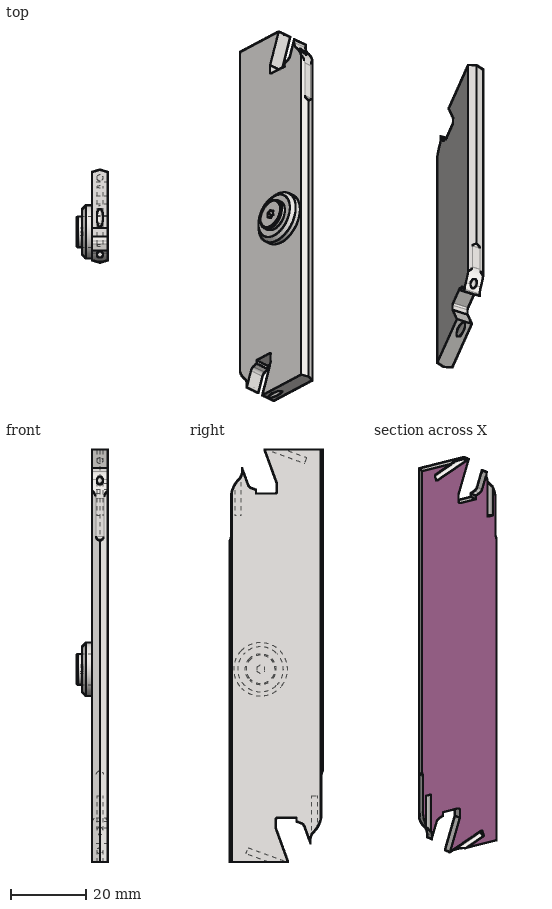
import cadquery as cq
import math

blade_length = 110.0
blade_width = 24.9
blade_thickness = 4.3
bevel_depth = 0.7
half_length = blade_length / 2
half_width = blade_width / 2
half_thickness = blade_thickness / 2

seat_angle = 20.0
jaw_corner_y = -3.2
slot_wall_y = 0.1
slot_corner_radius = 0.4
slot_floor_z = 43.2
step_y = -5.4
step_height = 1.0
seat_radius = 1.4

tip_y = -9.1
tip_z = 50.0
tip_land = 1.0
flank_angle = 45.0
hollow_radius = 3.0
recess_depth = bevel_depth / 2
recess_end_z = 31.8
runout_radius = 2.4
runout_angle = 45.0

coolant_diameter = 1.6
flank_hole_y = -10.2
flank_hole_floor_z = 37.4
jaw_hole_y = -0.4
jaw_hole_tilt = 20.0
jaw_hole_depth = 8.8

port_y = -4.2
port_z = -3.6
disc_diameter = 14.3
disc_thickness = 2.6
disc_chamfer = 1.1
screw_diameter = 8.2
screw_chamfer = 0.3
screw_length = 4.1
socket_flats = 2.0
socket_sides = 6
socket_depth = 1.6

clearance = 5.5


def sin(degrees):
    return math.sin(math.radians(degrees))


def cos(degrees):
    return math.cos(math.radians(degrees))


def tan(degrees):
    return math.tan(math.radians(degrees))


def make_blank():
    """Bar along Z with a ridge running down the middle of each long edge."""
    shoulder_y = half_width - bevel_depth
    section = [
        (-half_thickness, -shoulder_y),
        (0, -half_width),
        (half_thickness, -shoulder_y),
        (half_thickness, shoulder_y),
        (0, half_width),
        (-half_thickness, shoulder_y),
    ]
    return cq.Workplane("XY").workplane(offset=-half_length).polyline(section).close().extrude(blade_length)


def fillet_points(before, corner, after, radius):
    """Start, middle and end of the arc that rounds the corner of the path before-corner-after."""
    corner = cq.Vector(*corner)
    back = (cq.Vector(*before) - corner).normalized()
    ahead = (cq.Vector(*after) - corner).normalized()
    half_angle = back.getAngle(ahead) / 2
    tangent_length = radius / math.tan(half_angle)
    middle_distance = radius / math.sin(half_angle) - radius
    start = corner + back * tangent_length
    middle = corner + (back + ahead).normalized() * middle_distance
    end = corner + ahead * tangent_length
    return [point.toTuple()[:2] for point in (start, middle, end)]


def bend_points(start, radius, angle):
    """Middle and end of an arc that starts straight down and turns towards -Y by the angle."""
    start_y, start_z = start
    return [(start_y - radius * (1 - cos(turn)), start_z - radius * sin(turn)) for turn in (angle / 2, angle)]


def make_end_cutter():
    """What is cut away at the +Z end: slot, lower jaw flank and edge recess, as one YZ outline."""
    outside_y = -half_width - clearance
    outside_z = half_length + clearance

    jaw_top = (jaw_corner_y - clearance * tan(seat_angle), outside_z)
    wall_top = (slot_wall_y, half_length - (slot_wall_y - jaw_corner_y) / tan(seat_angle))
    step_foot = (step_y, slot_floor_z)
    slot_round = fillet_points(wall_top, (slot_wall_y, slot_floor_z), step_foot, slot_corner_radius)

    tip = (tip_y, tip_z)
    step_top = (step_y, slot_floor_z + step_height)
    ledge_slope = tan(seat_angle)
    seat_slope = 1 / tan(seat_angle)
    seat_y = (step_top[1] - tip_z + ledge_slope * step_y - seat_slope * tip_y) / (ledge_slope - seat_slope)
    seat_corner = (seat_y, tip_z - seat_slope * (seat_y - tip_y))
    seat_round = fillet_points(step_top, seat_corner, tip, seat_radius)

    land_foot = (tip_y, tip_z - tip_land)
    recess_y = -half_width + recess_depth
    hollow_middle, hollow_end = bend_points(land_foot, hollow_radius, flank_angle)
    round_radius = (hollow_end[0] - recess_y) / (1 - cos(flank_angle))
    recess_start = (recess_y, hollow_end[1] - round_radius * sin(flank_angle))
    round_middle = (
        recess_y + round_radius * (1 - cos(flank_angle / 2)),
        recess_start[1] + round_radius * sin(flank_angle / 2),
    )
    recess_end = (recess_y, recess_end_z)
    runout_middle, runout_end = bend_points(recess_end, runout_radius, runout_angle)

    outline = (
        cq.Workplane("YZ", origin=(-blade_thickness, 0, 0))
        .moveTo(*jaw_top)
        .lineTo(*wall_top)
        .lineTo(*slot_round[0])
        .threePointArc(*slot_round[1:])
        .lineTo(*step_foot)
        .lineTo(*step_top)
        .lineTo(*seat_round[0])
        .threePointArc(*seat_round[1:])
        .lineTo(*tip)
        .lineTo(*land_foot)
        .threePointArc(hollow_middle, hollow_end)
        .threePointArc(round_middle, recess_start)
        .lineTo(*recess_end)
        .threePointArc(runout_middle, runout_end)
        .lineTo(outside_y, runout_end[1])
        .lineTo(outside_y, outside_z)
        .close()
    )
    return outline.extrude(2 * blade_thickness)


def make_coolant_cutters():
    """Upright blind hole in the flank and slanted blind hole in the end face of the upper jaw."""
    radius = coolant_diameter / 2
    flank_hole = cq.Workplane(
        cq.Solid.makeCylinder(
            radius, half_length - flank_hole_floor_z, cq.Vector(0, flank_hole_y, flank_hole_floor_z)
        )
    )
    inward = cq.Vector(0, cos(jaw_hole_tilt), -sin(jaw_hole_tilt))
    start = cq.Vector(0, jaw_hole_y, half_length) - inward * clearance
    jaw_hole = cq.Workplane(cq.Solid.makeCylinder(radius, clearance + jaw_hole_depth, start, inward))
    return [flank_hole, jaw_hole]


def make_blade():
    """Blade with the same cutting end at both ends, half a turn apart about X."""
    blade = make_blank()
    for cutter in [make_end_cutter(), *make_coolant_cutters()]:
        for half_turn in (0, 180):
            blade = blade.cut(cutter.rotate((0, 0, 0), (1, 0, 0), half_turn))
    return blade


def port_plane(height):
    """Plane facing -X, centred on the port, at a height above the blade's -X face."""
    return cq.Plane(origin=(-half_thickness - height, port_y, port_z), xDir=(0, 1, 0), normal=(-1, 0, 0))


def make_disc():
    """Chamfered ring lying on the blade, bored for the screw."""
    disc = cq.Workplane(port_plane(0)).circle(disc_diameter / 2).extrude(disc_thickness)
    disc = disc.faces("<X").chamfer(disc_chamfer)
    bore = cq.Workplane(port_plane(0)).circle(screw_diameter / 2).extrude(disc_thickness)
    return disc.cut(bore)


def make_screw():
    """Plain round screw that fills the bore of the disc and stands proud of it, with a hexagon socket."""
    screw = cq.Workplane(port_plane(0)).circle(screw_diameter / 2).extrude(screw_length)
    screw = screw.faces("<X").chamfer(screw_chamfer)
    socket = cq.Workplane(port_plane(screw_length))
    socket = socket.polygon(socket_sides, socket_flats, circumscribed=True).extrude(-socket_depth)
    return screw.cut(socket)


blade = make_blade()
disc = make_disc()
screw = make_screw()

result = cq.Compound.makeCompound([body.solids().val() for body in (blade, disc, screw)])